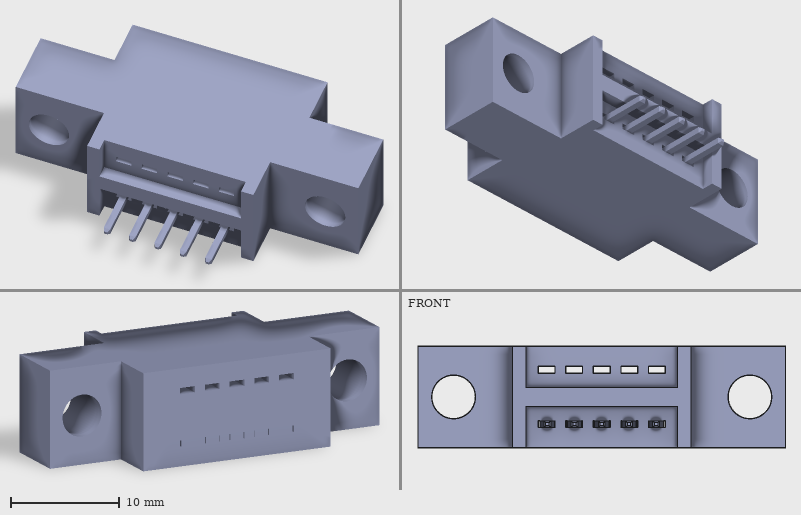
import cadquery as cq


ear_span = 33.9
height = 9.4
body_depth = 15.23
rear_width = 19.3
rear_depth = 4.6
ear_thickness = 6.35
front_width = 16.45
front_y = -body_depth

mounting_hole_diameter = 4.0
mounting_hole_spacing = 27.33

pocket_width = 14.0
pocket_depth = 1.22
middle_rib_height = 1.73
pocket_height = (height - middle_rib_height) / 2

contact_count = 5
slot_pitch = 2.55
contact_pitch = 2.5
slot_width = 1.53
slot_height = 0.6
row_offset = 2.5

pin_width = 0.65
pin_overhang = 3.5
pin_tip_length = 0.3
pin_tip_inset = 0.17
blade_width = 1.35
shoulder_length = 0.88
shoulder_setback = 0.35

contact_x_positions = [(i - (contact_count - 1) / 2) * contact_pitch for i in range(contact_count)]


def block(width, rear_y, depth, block_height, center_z=0.0):
    """A box centred on X = 0 that runs from rear_y toward -Y."""
    return cq.Workplane("XY").box(width, depth, block_height).translate((0, rear_y - depth / 2, center_z))


def make_housing():
    housing = (
        block(rear_width, 0, rear_depth + ear_thickness, height)
        .union(block(ear_span, -rear_depth, ear_thickness, height))
        .union(block(front_width, -rear_depth, body_depth - rear_depth, height))
    )

    mounting_holes = (
        cq.Workplane("XZ")
        .rarray(mounting_hole_spacing, 0.35, 2, 1)
        .circle(mounting_hole_diameter / 2)
        .extrude(body_depth)
    )
    housing = housing.cut(mounting_holes)

    pocket_offset = (height - pocket_height) / 2
    for side in (1, -1):
        pocket = block(pocket_width, front_y + pocket_depth, pocket_depth, pocket_height, side * pocket_offset)
        housing = housing.cut(pocket)

    slots = (
        cq.Workplane("XZ")
        .rarray(slot_pitch, 2 * row_offset, contact_count, 2)
        .rect(slot_width, slot_height)
        .extrude(body_depth)
    )
    return housing.cut(slots)


def make_contact(center_x):
    shoulder_front_y = front_y + pocket_depth + shoulder_setback
    shoulder_rear_y = shoulder_front_y + shoulder_length
    tip_y = front_y - pin_overhang
    tip_base_y = tip_y + pin_tip_length

    right_half = [
        (blade_width / 2, 0),
        (blade_width / 2, shoulder_rear_y),
        (pin_width / 2, shoulder_front_y),
        (pin_width / 2, tip_base_y),
    ]
    left_half = [(-x, y) for x, y in reversed(right_half)]
    blade = (
        cq.Workplane("XY")
        .workplane(offset=-slot_height / 2)
        .polyline(right_half + left_half)
        .close()
        .extrude(slot_height)
    )

    tip = (
        cq.Workplane("XZ", origin=(0, tip_base_y, 0))
        .rect(pin_width, slot_height)
        .workplane(offset=pin_tip_length)
        .rect(pin_width - 2 * pin_tip_inset, slot_height - 2 * pin_tip_inset)
        .loft(combine=True)
    )
    return blade.union(tip).translate((center_x, 0, -row_offset))


housing = make_housing()
contacts = [make_contact(x) for x in contact_x_positions]

result = cq.Compound.makeCompound([housing.val(), *[contact.val() for contact in contacts]])